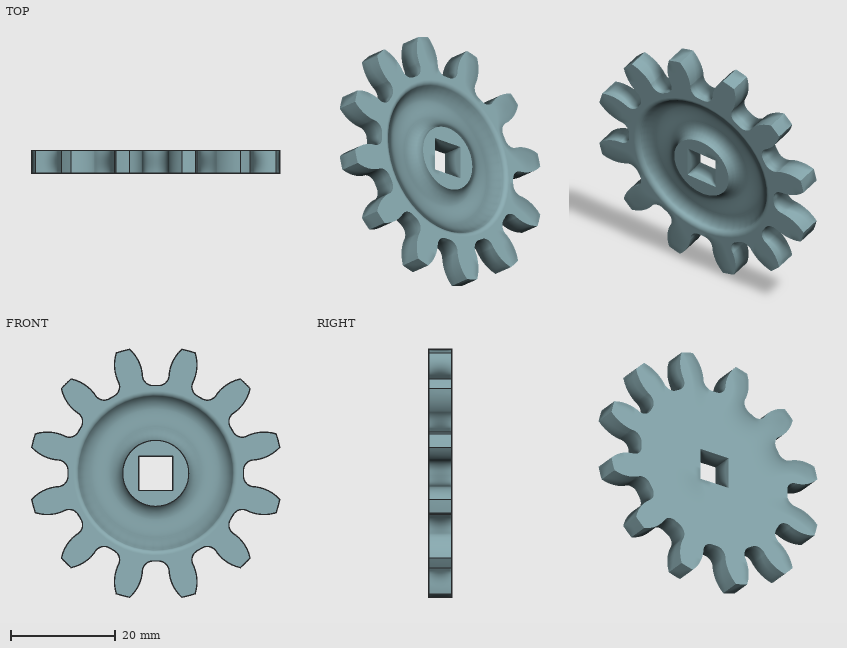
import cadquery as cq
import math

tooth_count = 12
thickness = 4.45
tip_radius = 24.35

root_half_width, root_height = 2.45, 16.85
neck_half_width, neck_height = 2.55, 19.15
mid_half_width, mid_height = 3.45, 21.8
tip_half_width, tip_height = 4.95, 23.75
mouth_half_width, mouth_height = 5.6, 24.62
root_fillet = 2.0

dish_depth = 2.52
hub_radius = 6.35
floor_radius = 12.4
lip_radius = 1.0

square_side = 6.53


def make_toothed_disc():
    """Disc from Y = 0 (front) to Y = thickness with the tooth gaps cut out."""
    disc = cq.Workplane("XZ").circle(tip_radius).extrude(-thickness)
    gap = (
        cq.Workplane("XZ")
        .moveTo(-root_half_width, root_height)
        .lineTo(root_half_width, root_height)
        .lineTo(neck_half_width, neck_height)
        .threePointArc((mid_half_width, mid_height), (tip_half_width, tip_height))
        .lineTo(mouth_half_width, mouth_height)
        .lineTo(-mouth_half_width, mouth_height)
        .lineTo(-tip_half_width, tip_height)
        .threePointArc((-mid_half_width, mid_height), (-neck_half_width, neck_height))
        .close()
        .extrude(-thickness)
        .faces("<Z")
        .edges("|Y")
        .fillet(root_fillet)
    )
    for index in range(tooth_count):
        angle = index * 360 / tooth_count
        disc = disc.cut(gap.rotate((0, 0, 0), (0, 1, 0), angle))
    return disc


def make_dish():
    """Ring-shaped recess around the hub, with coved sides and a rounded rim."""
    cove_span = dish_depth + lip_radius
    rim_radius = floor_radius + math.sqrt(cove_span**2 - lip_radius**2)
    hub_foot_radius = hub_radius + dish_depth
    diagonal = math.sqrt(0.5)

    lip_tilt = math.asin(lip_radius / cove_span)
    touch_radius = floor_radius + dish_depth * math.cos(lip_tilt)
    touch_depth = dish_depth * math.sin(lip_tilt)
    cove_mid_angle = (lip_tilt + math.pi / 2) / 2
    cove_mid = (
        floor_radius + dish_depth * math.cos(cove_mid_angle),
        dish_depth * math.sin(cove_mid_angle),
    )
    lip_mid_angle = (math.pi / 2 - lip_tilt) / 2
    lip_mid = (
        rim_radius - lip_radius * math.sin(lip_mid_angle),
        lip_radius - lip_radius * math.cos(lip_mid_angle),
    )
    hub_cove_mid = (
        hub_foot_radius - dish_depth * diagonal,
        dish_depth * diagonal,
    )
    return (
        cq.Workplane("XY")
        .moveTo(hub_radius, 0)
        .threePointArc(hub_cove_mid, (hub_foot_radius, dish_depth))
        .lineTo(floor_radius, dish_depth)
        .threePointArc(cove_mid, (touch_radius, touch_depth))
        .threePointArc(lip_mid, (rim_radius, 0))
        .close()
        .revolve(360, (0, 0, 0), (0, 1, 0))
    )


def make_drive_hole():
    """Square hole through the hub."""
    return cq.Workplane("XZ").rect(square_side, square_side).extrude(-thickness)


result = make_toothed_disc().cut(make_dish()).cut(make_drive_hole())